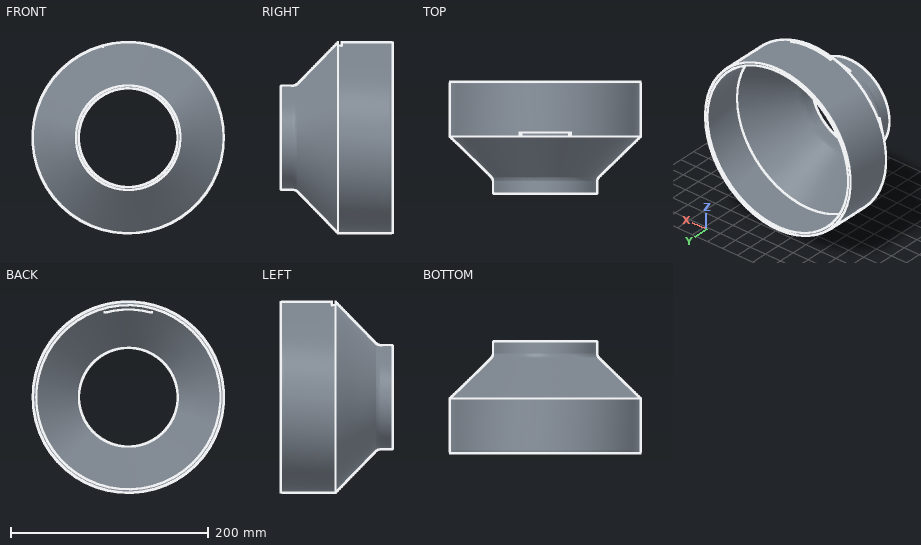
import cadquery as cq
import math

outer_diameter = 194.3
shell_bore_diameter = 187.0
neck_diameter = 106.0
neck_bore_diameter = 100.0
total_length = 113.9
shell_length = 55.5
neck_length = 15.4
bore_cone_start = 16.5
neck_blend_radius = 5.8
bore_blend_radius = 8.7
bore_cone_setback = 9.1
rim_length = 3.0
rim_step = 0.4
slot_width = 3.7
slot_depth = 8.2
slot_half_angle = 15.6

outer_radius = outer_diameter / 2
shell_bore_radius = shell_bore_diameter / 2
neck_radius = neck_diameter / 2
neck_bore_radius = neck_bore_diameter / 2
lip_radius = (neck_radius - neck_bore_radius) / 2

rim_start = total_length - rim_length
cone_end = total_length - shell_length
bore_cone_end = cone_end + bore_cone_setback


def revolve_about_y(profile):
    return profile.revolve(360, (0, 0, 0), (0, 1, 0))


def funnel(small_radius, large_radius, cone_start_y, cone_end_y, end_radius, blend_radius):
    """Solid neck, cone and shell starting at the lip, with a blended neck corner.

    The shell narrows to end_radius over the rim length.
    """
    profile = (
        cq.Workplane("XY")
        .moveTo(0, lip_radius)
        .lineTo(small_radius, lip_radius)
        .lineTo(small_radius, cone_start_y)
        .lineTo(large_radius, cone_end_y)
        .lineTo(large_radius, rim_start)
        .lineTo(end_radius, total_length)
        .lineTo(0, total_length)
        .close()
    )
    margin = 0.2
    half_box = small_radius + margin
    neck_corner = cq.selectors.BoxSelector(
        (-half_box, cone_start_y - margin, -half_box),
        (half_box, cone_start_y + margin, half_box),
    )
    return revolve_about_y(profile).edges(neck_corner).fillet(blend_radius)


def hollow_body():
    outside = funnel(
        neck_radius, outer_radius, neck_length, cone_end, outer_radius - rim_step, neck_blend_radius
    )
    inside = funnel(
        neck_bore_radius,
        shell_bore_radius,
        bore_cone_start,
        bore_cone_end,
        shell_bore_radius,
        bore_blend_radius,
    )
    return outside.cut(inside)


def rounded_lip():
    """Half-round ring that closes the neck wall."""
    lip_profile = (
        cq.Workplane("XY")
        .moveTo(neck_bore_radius, lip_radius)
        .threePointArc((neck_bore_radius + lip_radius, 0), (neck_radius, lip_radius))
        .close()
    )
    return revolve_about_y(lip_profile)


def slot_cutter():
    """Ring sector for the blind slot just behind the outer cone."""
    reach = outer_diameter
    half_span = reach * math.tan(math.radians(slot_half_angle))
    slot_plane = cq.Workplane("XZ", origin=(0, cone_end + slot_width, 0))
    sector = slot_plane.polyline([(0, 0), (-half_span, reach), (half_span, reach)]).close().extrude(slot_width)
    core = slot_plane.circle(outer_radius - slot_depth).extrude(slot_width)
    return sector.cut(core)


result = hollow_body().union(rounded_lip()).cut(slot_cutter())